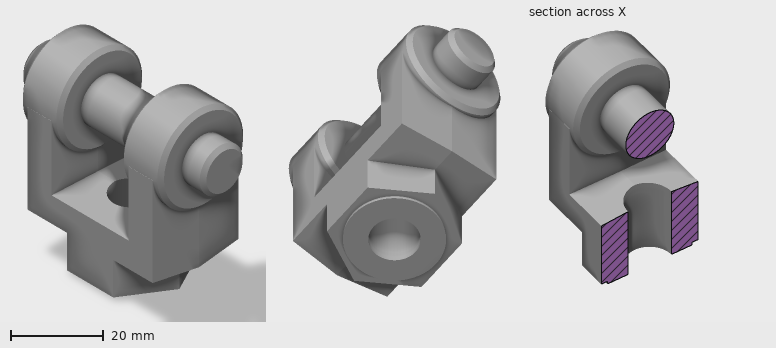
import cadquery as cq
import math


pin_length = 57.9
pin_diameter = 12.75
collar_diameter = 25.4
collar_width = 12.7
collar_center_x = 16.0
edge_chamfer = 1.05

depth = collar_diameter
fork_swell = 1.1
arm_width = 7.65
arm_top_z = -1.05
slot_floor_z = -20.2
fork_bottom_z = -27.55

hex_bottom_z = -37.3
spigot_diameter = 22.35
spigot_height = 0.75
bore_diameter = 11.35


def chamfered_cylinder(diameter, length, center_x):
    """Cylinder along X with chamfered ends."""
    return (
        cq.Workplane("YZ", origin=(center_x - length / 2, 0, 0))
        .circle(diameter / 2)
        .extrude(length)
        .edges()
        .chamfer(edge_chamfer)
    )


def fork_outline(swell):
    """U-shaped outline in X and Z, widened by swell except at the arm tops."""
    outer_x = collar_center_x + arm_width / 2 + swell
    inner_x = collar_center_x - arm_width / 2 - swell
    bottom_z = fork_bottom_z - swell
    floor_z = slot_floor_z + swell
    return [
        (-outer_x, bottom_z),
        (outer_x, bottom_z),
        (outer_x, arm_top_z),
        (inner_x, arm_top_z),
        (inner_x, floor_z),
        (-inner_x, floor_z),
        (-inner_x, arm_top_z),
        (-outer_x, arm_top_z),
    ]


def fork_half():
    """Half of the fork, tapering from mid-depth to the face at -Y."""
    return (
        cq.Workplane("XZ")
        .polyline(fork_outline(fork_swell))
        .close()
        .workplane(offset=depth / 2)
        .polyline(fork_outline(0))
        .close()
        .loft(ruled=True)
    )


def foot():
    """Hexagon with flats facing +Y and -Y, and a spigot below it."""
    hex_top_z = (slot_floor_z + fork_bottom_z) / 2
    corner_diameter = depth / math.cos(math.pi / 6)
    hexagon = (
        cq.Workplane("XY", origin=(0, 0, hex_bottom_z))
        .polygon(6, corner_diameter)
        .extrude(hex_top_z - hex_bottom_z)
    )
    return hexagon.faces("<Z").workplane().circle(spigot_diameter / 2).extrude(spigot_height)


def bore():
    """Through bore from the slot floor to the underside of the spigot."""
    bottom_z = hex_bottom_z - spigot_height
    top_z = slot_floor_z + fork_swell
    return (
        cq.Workplane("XY", origin=(0, 0, bottom_z))
        .circle(bore_diameter / 2)
        .extrude(top_z - bottom_z)
    )


front_half = fork_half()
body = front_half.union(front_half.mirror("XZ")).union(foot()).cut(bore())

for side in (-1, 1):
    body = body.union(chamfered_cylinder(collar_diameter, collar_width, side * collar_center_x))

result = body.union(chamfered_cylinder(pin_diameter, pin_length, 0))